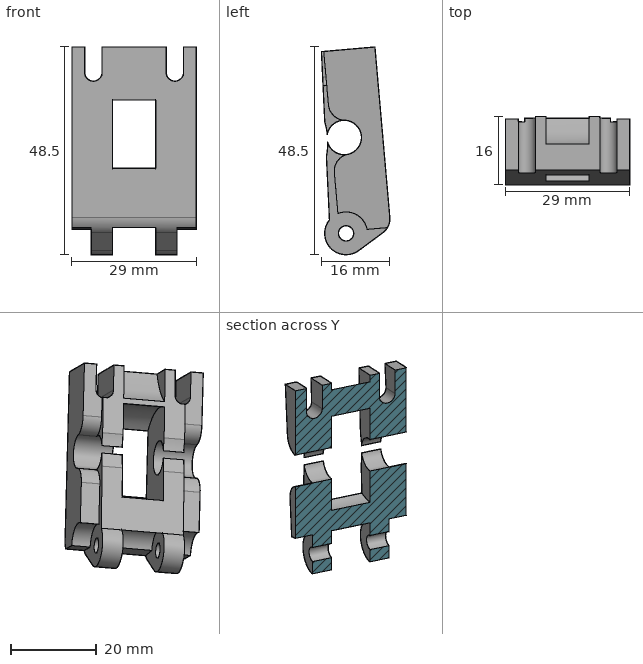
import cadquery as cq
import math

LEAN_ANGLE = 5.0

BODY_WIDTH = 29.0
CORE_WIDTH = 20.0
CHANNEL_WIDTH = 10.0

BODY_DEPTH = 12.0
SIDE_HEIGHT = 42.22
FRONT_Y = -10.52
SIDE_BACK_Y = FRONT_Y + BODY_DEPTH
BODY_BOTTOM_Z = 0.5
TOP_Z = BODY_BOTTOM_Z + SIDE_HEIGHT

PIN_DIAMETER = 3.5
LUG_RADIUS = 5.0
CHIN_ANGLE = 58.5
CHIN_RADIUS = 4.0
UNDERSIDE_TOUCH_Y = -LUG_RADIUS * math.cos(math.radians(CHIN_ANGLE))
UNDERSIDE_TOUCH_Z = -LUG_RADIUS * math.sin(math.radians(CHIN_ANGLE))
CHIN_CORNER_Z = UNDERSIDE_TOUCH_Z + (UNDERSIDE_TOUCH_Y - FRONT_Y) / math.tan(math.radians(CHIN_ANGLE))
CHIN_CENTRE_Z = CHIN_CORNER_Z + CHIN_RADIUS * math.tan(math.radians(CHIN_ANGLE / 2))
CHIN_END_Y = FRONT_Y + CHIN_RADIUS - math.sqrt(CHIN_RADIUS**2 - (CHIN_CENTRE_Z - BODY_BOTTOM_Z) ** 2)

CORE_TOP_BACK_Y = 2.05
CORE_BACK_SLOPE = 2.27

ROD_DIAMETER = 8.0
ROD_Y = SIDE_BACK_Y - 3.0
ROD_Z = 22.3
LEAD_IN_RADIUS = 4.0
MOUTH_HALF_HEIGHT = 4.0
MOUTH_GROOVE_DEPTH = 0.5

WINDOW_RADIUS = 12.0
SCOOP_RADIUS = 16.0
SCOOP_Y = 10.4
SCOOP_Z = 48.8

SLOT_WIDTH = 4.0
SLOT_DEPTH = 8.0
SLOT_X = 9.5

MARGIN = 5.0


def extrude_across(sketch, width):
    """Extrude a YZ sketch to the given width, centred on X = 0."""
    return sketch.extrude(width / 2, both=True)


def cylinder_across(y, z, radius, width):
    """Cylinder along X, centred on X = 0."""
    return extrude_across(cq.Workplane("YZ").center(y, z).circle(radius), width)


def space_below(width):
    """Cutter filling the space under the level Z = 0 plane, longer than the body is deep."""
    return cq.Workplane("XY").box(width, 4 * BODY_DEPTH, BODY_DEPTH).translate((0, 0, -BODY_DEPTH / 2))


def core_back_y(z):
    """Y of the sloping back of the core at height z."""
    return CORE_TOP_BACK_Y + (TOP_Z - z) * math.tan(math.radians(CORE_BACK_SLOPE))


def make_blade(width, top_back_y, bottom_back_y):
    """Plate with a rounded chin whose underside runs down tangent to the lug circle."""
    outline = (
        cq.Workplane("YZ")
        .moveTo(FRONT_Y, TOP_Z)
        .lineTo(FRONT_Y, CHIN_CORNER_Z)
        .lineTo(UNDERSIDE_TOUCH_Y, UNDERSIDE_TOUCH_Z)
        .lineTo(0, 0)
        .lineTo(bottom_back_y, 0)
        .lineTo(top_back_y, TOP_Z)
        .close()
    )
    chin_edge = cq.selectors.NearestToPointSelector((0, FRONT_Y, CHIN_CORNER_Z))
    return extrude_across(outline, width).edges("|X").edges(chin_edge).fillet(CHIN_RADIUS)


def make_core():
    """Middle part: blade with a sloping back and the lug barrel round the pin."""
    blade = make_blade(CORE_WIDTH, CORE_TOP_BACK_Y, core_back_y(0))
    return blade.union(cylinder_across(0, 0, LUG_RADIUS, CORE_WIDTH))


def make_mouth_groove():
    """Shallow round groove across the back of the core at the rod mouth."""
    upper_z = ROD_Z + MOUTH_HALF_HEIGHT
    lower_z = ROD_Z - MOUTH_HALF_HEIGHT
    return extrude_across(
        cq.Workplane("YZ")
        .moveTo(core_back_y(upper_z), upper_z)
        .threePointArc(
            (core_back_y(ROD_Z) - MOUTH_GROOVE_DEPTH, ROD_Z),
            (core_back_y(lower_z), lower_z),
        )
        .lineTo(core_back_y(lower_z) + MARGIN, lower_z)
        .lineTo(core_back_y(upper_z) + MARGIN, upper_z)
        .close(),
        CORE_WIDTH,
    )


def make_rod_lead_in(width):
    """Flared entry to the rod seat: two arcs tangent to both the seat and the side back face."""
    arc_y = SIDE_BACK_Y - LEAD_IN_RADIUS
    rise = math.sqrt((ROD_DIAMETER / 2 + LEAD_IN_RADIUS) ** 2 - (ROD_Y - arc_y) ** 2)
    seat_share = ROD_DIAMETER / 2 / (ROD_DIAMETER / 2 + LEAD_IN_RADIUS)
    touch_y = ROD_Y + (arc_y - ROD_Y) * seat_share
    touch_rise = rise * seat_share
    touch_angle = math.atan2(touch_rise - rise, touch_y - arc_y)
    mid_y = arc_y + LEAD_IN_RADIUS * math.cos(touch_angle / 2)
    mid_rise = rise + LEAD_IN_RADIUS * math.sin(touch_angle / 2)
    return extrude_across(
        cq.Workplane("YZ")
        .moveTo(touch_y, ROD_Z + touch_rise)
        .threePointArc((mid_y, ROD_Z + mid_rise), (SIDE_BACK_Y, ROD_Z + rise))
        .lineTo(SIDE_BACK_Y, ROD_Z - rise)
        .threePointArc((mid_y, ROD_Z - mid_rise), (touch_y, ROD_Z - touch_rise))
        .close(),
        width,
    )


def make_sides():
    """Full-width block with a rounded chin, flared rod entry and clearance round the hinge."""
    block = make_blade(BODY_WIDTH, SIDE_BACK_Y, SIDE_BACK_Y)
    below = space_below(BODY_WIDTH).translate((0, 0, BODY_BOTTOM_Z))
    block = block.cut(below).cut(cylinder_across(0, 0, LUG_RADIUS, BODY_WIDTH))
    return block.cut(make_rod_lead_in(BODY_WIDTH))


def make_slot(side):
    """Round-bottomed slot through the thickness, open at the top edge."""
    radius = SLOT_WIDTH / 2
    round_z = TOP_Z - SLOT_DEPTH + radius
    return (
        cq.Workplane("XZ", origin=(side * SLOT_X, FRONT_Y - MARGIN, 0))
        .moveTo(-radius, TOP_Z)
        .lineTo(-radius, round_z)
        .threePointArc((0, round_z - radius), (radius, round_z))
        .lineTo(radius, TOP_Z)
        .close()
        .extrude(-(BODY_DEPTH + 2 * MARGIN))
    )


def make_lug_gap():
    """Room between the lugs: round the pin, and level (after leaning) from the chin backward."""
    level = space_below(CHANNEL_WIDTH).rotate((0, 0, 0), (1, 0, 0), LEAN_ANGLE)
    level = level.translate((0, CHIN_END_Y, BODY_BOTTOM_Z))
    return level.union(cylinder_across(0, 0, LUG_RADIUS, CHANNEL_WIDTH))


core = make_core().cut(make_mouth_groove())
body = core.union(make_sides())
body = body.cut(cylinder_across(0, 0, PIN_DIAMETER / 2, BODY_WIDTH))
body = body.cut(cylinder_across(ROD_Y, ROD_Z, ROD_DIAMETER / 2, BODY_WIDTH))
body = body.cut(cylinder_across(ROD_Y, ROD_Z, WINDOW_RADIUS, CHANNEL_WIDTH))
body = body.cut(cylinder_across(SCOOP_Y, SCOOP_Z, SCOOP_RADIUS, CHANNEL_WIDTH))
body = body.cut(make_lug_gap())
for side in (-1, 1):
    body = body.cut(make_slot(side))

result = body.rotate((0, 0, 0), (1, 0, 0), -LEAN_ANGLE)